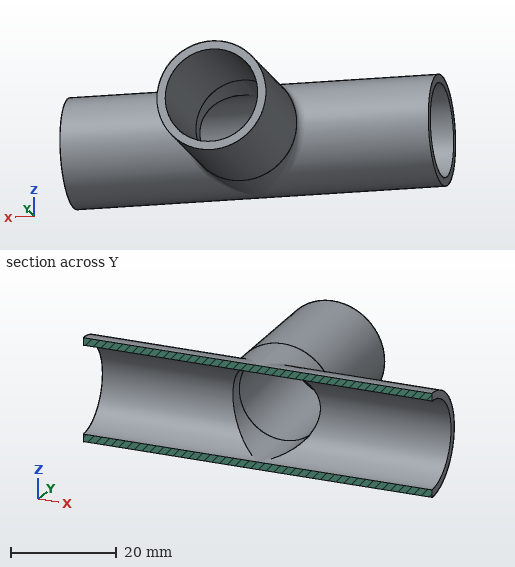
import cadquery as cq

run_length = 72.0
outer_diameter = 21.3
bore_diameter = 18.1
branch_end = 36.0

fillet_radius = 1.3
collar_height = 1.45
collar_end = outer_diameter / 2 + collar_height


def run_rod(diameter):
    """Solid rod along X, centred on the origin."""
    return cq.Workplane("YZ").circle(diameter / 2).extrude(run_length / 2, both=True)


def branch_rod(diameter, start, end):
    """Solid rod along +Y between two distances from the run axis."""
    return (
        cq.Workplane("XZ", origin=(0, start, 0))
        .circle(diameter / 2)
        .extrude(start - end)
    )


def make_tee_body():
    """Run pipe with a short collar, filleted where the two outer surfaces meet.

    The two intersection curves cross at the top and bottom of the run, so each
    half is filleted on its own and the halves are then joined.
    """
    outside = run_rod(outer_diameter).union(branch_rod(outer_diameter, 0, collar_end))
    half_space = cq.Workplane().box(run_length, run_length, run_length, centered=(False, True, True))
    half = outside.intersect(half_space)
    half = half.edges("%ELLIPSE").edges(">>Y").fillet(fillet_radius)
    half = half.cut(run_rod(bore_diameter)).cut(branch_rod(bore_diameter, 0, collar_end))
    return half.union(half.mirror("YZ"), clean=True).solids()


def make_branch_pipe():
    """Straight pipe that butts against the end of the collar."""
    outside = branch_rod(outer_diameter, collar_end, branch_end)
    return outside.cut(branch_rod(bore_diameter, collar_end, branch_end))


tee_body = make_tee_body()
branch_pipe = make_branch_pipe()

result = cq.Compound.makeCompound([tee_body.val(), branch_pipe.val()])